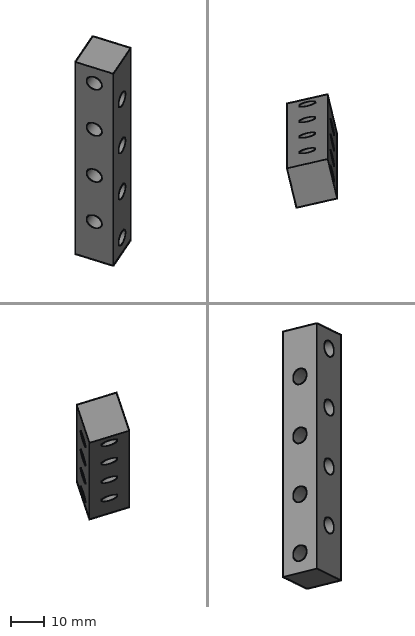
import cadquery as cq

length = 79.4
width = 12.7

hole_diameter = 5.1
hole_pitch = 19.05
holes_per_row = 4
end_margin = width / 2


def hole_row(plane, first_z, step):
    """Cylinders through the full bar width, spaced along Z from first_z."""
    heights = [first_z + i * step for i in range(holes_per_row)]
    return (
        cq.Workplane(plane)
        .pushPoints([(0, z) for z in heights])
        .circle(hole_diameter / 2)
        .extrude(width, both=True)
    )


bar = cq.Workplane("XY").box(width, width, length)

first_offset = length / 2 - end_margin
holes_along_y = hole_row("XZ", first_offset, -hole_pitch)
holes_along_x = hole_row("YZ", -first_offset, hole_pitch)

result = bar.cut(holes_along_y).cut(holes_along_x)